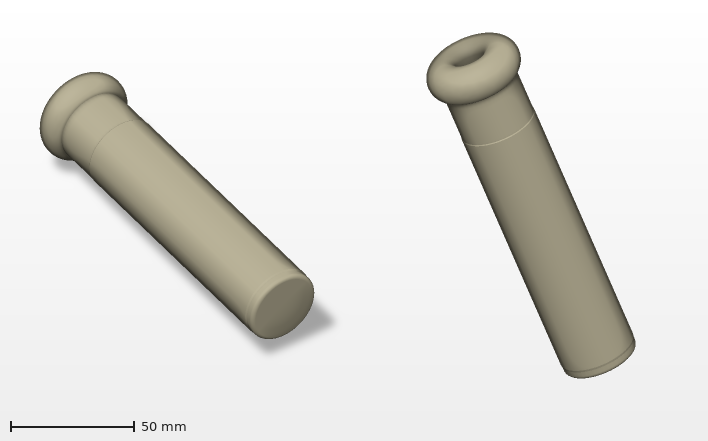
import cadquery as cq

total_length = 150.0
ring_outer_diameter = 40.0
ring_tube_radius = 7.8
ring_centre_radius = ring_outer_diameter / 2 - ring_tube_radius

neck_radius = 31.5 / 2
main_radius = 32.0 / 2
shaft_start = 6.3
main_start = 34.5
main_end = 146.2
rear_chamfer_length = 0.9
front_chamfer_length = 0.5
end_fillet = 1.6


def make_ring():
    """Round ring whose front just touches the plane X = 0."""
    return cq.Workplane(
        cq.Solid.makeTorus(
            ring_centre_radius,
            ring_tube_radius,
            cq.Vector(ring_tube_radius, 0, 0),
            cq.Vector(1, 0, 0),
        )
    )


def make_shaft(ring):
    """Stepped shaft with a rounded far end and a seat that fits the ring."""
    profile = (
        cq.Workplane("XY")
        .moveTo(shaft_start, 0)
        .lineTo(shaft_start, neck_radius)
        .lineTo(main_start, neck_radius)
        .lineTo(main_start + front_chamfer_length, main_radius)
        .lineTo(main_end - rear_chamfer_length, main_radius)
        .lineTo(main_end, neck_radius)
        .lineTo(total_length, neck_radius)
        .lineTo(total_length, 0)
        .close()
    )
    turned = profile.revolve(360, (0, 0, 0), (1, 0, 0))
    rounded = turned.faces(">X").edges().fillet(end_fillet)
    return rounded.cut(ring)


ring = make_ring()
shaft = make_shaft(ring)

result = cq.Compound.makeCompound([ring.val(), *shaft.solids().vals()])